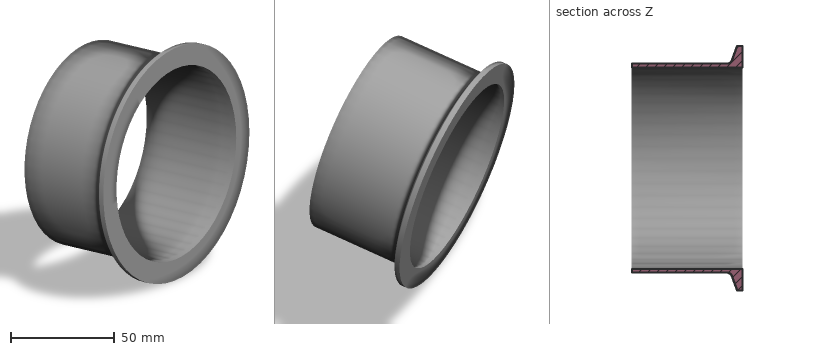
import cadquery as cq
import math

length = 54.0
bore_diameter = 97.6
tube_diameter = 101.6
flange_diameter = 119.0
rim_thickness = 2.9
taper_angle = 20.0
neck_radius = 2.1
rim_edge_radius = 0.7

bore_radius = bore_diameter / 2
tube_radius = tube_diameter / 2
flange_radius = flange_diameter / 2
rim_start = length - rim_thickness
taper_length = (flange_radius - tube_radius) * math.tan(math.radians(taper_angle))
taper_start = rim_start - taper_length

section = (
    cq.Workplane("XY")
    .moveTo(0, bore_radius)
    .lineTo(0, tube_radius)
    .lineTo(taper_start, tube_radius)
    .lineTo(rim_start, flange_radius)
    .lineTo(length, flange_radius)
    .lineTo(length, bore_radius)
    .close()
)
ferrule = section.revolve(360, (0, 0, 0), (1, 0, 0))


def round_circle(body, x, radius, fillet_radius):
    """Fillet the circular edge of the given radius at position x."""
    margin = 0.01
    reach = radius + margin
    edge_zone = cq.selectors.BoxSelector(
        (x - margin, -reach, -reach), (x + margin, reach, reach), boundingbox=True
    )
    return body.edges(edge_zone).fillet(fillet_radius)


ferrule = round_circle(ferrule, taper_start, tube_radius, neck_radius)
result = round_circle(ferrule, rim_start, flange_radius, rim_edge_radius)